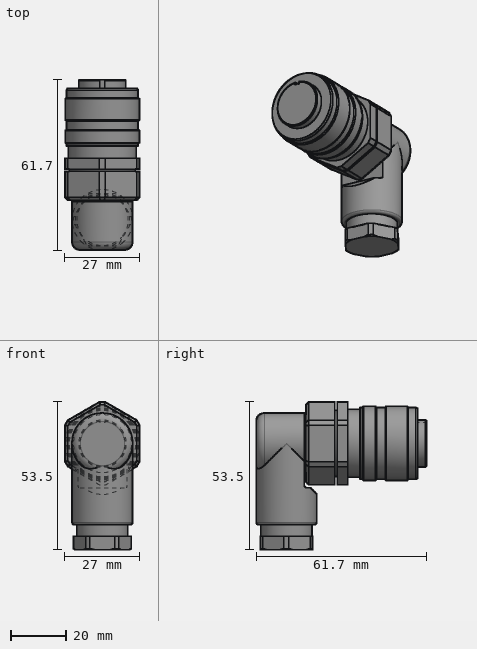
import cadquery as cq
import math


ELBOW_DIA = 22.0
ELBOW_RADIUS = ELBOW_DIA / 2
ELBOW_BACK_Y = -ELBOW_RADIUS
ELBOW_FRONT_Y = 6.5
ELBOW_BOTTOM_Z = -29.5
ELBOW_BACK_FILLET = 3.0
ELBOW_BOTTOM_FILLET = 1.0

NOTCH_FLOOR_Z = -16.0
NOTCH_BEVEL = 2.4
NOTCH_FILLET = 0.8

NUT_FLATS = 27.0
NUT_CORNERS = 30.0
NUT_BACK_Y = 7.0
NUT_FRONT_Y = 17.5
NUT_CHAMFER = 1.05
LOCK_NUT_BACK_Y = 18.3
LOCK_NUT_FRONT_Y = 22.25

ELBOW_NECK_DIA = 21.0
NUT_NECK_DIA = 24.0
BARREL_DIA = 24.7

SLEEVE_DIA = 26.0
SLEEVE_BACK_Y = 26.55
SLEEVE_FRONT_Y = 47.6
SLEEVE_BACK_CHAMFER = 0.2
SLEEVE_FRONT_TAPER_LENGTH = 0.8
SLEEVE_FRONT_TAPER_DEPTH = 0.4
RING_DIA = 27.0
RING_SLOPE = 0.4
RING_SPANS = [(27.5, 32.6), (35.7, 44.1)]

PLUG_DIA = 17.15
PLUG_FRONT_Y = 50.7
PLUG_CHAMFER = 0.4
KEYWAY_WIDTH = 1.7
KEYWAY_DEPTH = 1.0

GLAND_NECK_DIA = 18.6
GLAND_FLATS = 19.0
GLAND_CORNERS = 21.0
GLAND_TOP_Z = -33.6
GLAND_BOTTOM_Z = -38.5
GLAND_END_DIA = 19.7
GLAND_CHAMFER_HEIGHT = 0.45


def y_cylinder(diameter, back_y, front_y):
    """Cylinder on the plug axis from back_y to front_y."""
    plane = cq.Workplane("XZ", origin=(0, back_y, 0))
    return plane.circle(diameter / 2).extrude(-(front_y - back_y))


def z_cylinder(diameter, bottom_z, top_z):
    """Cylinder on the outlet axis from bottom_z to top_z."""
    plane = cq.Workplane("XY", origin=(0, 0, bottom_z))
    return plane.circle(diameter / 2).extrude(top_z - bottom_z)


def y_hexagon(flats, first_corner_angle, back_y, front_y):
    """Hexagonal prism on the plug axis, first corner at an angle from +X in degrees."""
    corner_radius = flats / math.sqrt(3)
    angles = [math.radians(first_corner_angle + 60 * i) for i in range(6)]
    corners = [(corner_radius * math.cos(a), corner_radius * math.sin(a)) for a in angles]
    plane = cq.Workplane("XZ", origin=(0, back_y, 0))
    return plane.polyline(corners).close().extrude(-(front_y - back_y))


def nut_prism(back_y, front_y):
    """Hexagon with corners up and down, each corner cut to a narrow flat."""
    hexagon = y_hexagon(NUT_FLATS, 30, back_y, front_y)
    corner_cutter = y_hexagon(NUT_CORNERS, 0, back_y, front_y)
    return hexagon.intersect(corner_cutter)


def make_elbow():
    """Two equal tubes meeting at a right angle, with the clearance notch."""
    plug_tube = y_cylinder(ELBOW_DIA, ELBOW_BACK_Y, ELBOW_FRONT_Y)
    plug_tube = plug_tube.faces("<Y").edges().fillet(ELBOW_BACK_FILLET)
    outlet_tube = z_cylinder(ELBOW_DIA, ELBOW_BOTTOM_Z, 0)
    outlet_tube = outlet_tube.faces("<Z").edges().fillet(ELBOW_BOTTOM_FILLET)
    outlet_tube = outlet_tube.cut(make_notch())
    return plug_tube.union(outlet_tube)


def make_notch():
    """Side profile of the notch, run through the full width in X."""
    outline = (
        cq.Workplane("YZ")
        .moveTo(ELBOW_FRONT_Y, 0)
        .lineTo(ELBOW_FRONT_Y, NOTCH_FLOOR_Z + NOTCH_FILLET)
        .radiusArc((ELBOW_FRONT_Y + NOTCH_FILLET, NOTCH_FLOOR_Z), -NOTCH_FILLET)
        .lineTo(ELBOW_RADIUS - NOTCH_BEVEL, NOTCH_FLOOR_Z)
        .lineTo(ELBOW_RADIUS, NOTCH_FLOOR_Z - NOTCH_BEVEL)
        .lineTo(ELBOW_RADIUS, 0)
        .close()
    )
    return outline.extrude(ELBOW_RADIUS, both=True)


def make_nuts():
    """Coupling nut, lock nut and the cylinders that link them."""
    coupling_nut = nut_prism(NUT_BACK_Y, NUT_FRONT_Y)
    coupling_nut = coupling_nut.faces("<Y").edges().chamfer(NUT_CHAMFER)
    lock_nut = nut_prism(LOCK_NUT_BACK_Y, LOCK_NUT_FRONT_Y)
    elbow_neck = y_cylinder(ELBOW_NECK_DIA, ELBOW_FRONT_Y, NUT_BACK_Y)
    nut_neck = y_cylinder(NUT_NECK_DIA, NUT_FRONT_Y, LOCK_NUT_BACK_Y)
    barrel = y_cylinder(BARREL_DIA, LOCK_NUT_FRONT_Y, SLEEVE_BACK_Y)
    return elbow_neck.union(coupling_nut).union(nut_neck).union(lock_nut).union(barrel)


def make_sleeve():
    """Sleeve body with a tapered front and two bevelled grip rings."""
    sleeve = y_cylinder(SLEEVE_DIA, SLEEVE_BACK_Y, SLEEVE_FRONT_Y)
    sleeve = sleeve.faces("<Y").edges().chamfer(SLEEVE_BACK_CHAMFER)
    sleeve_radius = SLEEVE_DIA / 2
    taper = (
        cq.Workplane("XY")
        .moveTo(sleeve_radius, SLEEVE_FRONT_Y - SLEEVE_FRONT_TAPER_LENGTH)
        .lineTo(sleeve_radius, SLEEVE_FRONT_Y)
        .lineTo(sleeve_radius - SLEEVE_FRONT_TAPER_DEPTH, SLEEVE_FRONT_Y)
        .close()
        .revolve(360, (0, 0, 0), (0, 1, 0))
    )
    sleeve = sleeve.cut(taper)
    for back_y, front_y in RING_SPANS:
        sleeve = sleeve.union(make_ring(back_y, front_y))
    return sleeve


def make_ring(back_y, front_y):
    """Grip ring whose two ends slope down to the sleeve surface."""
    outline = [
        (0, back_y),
        (SLEEVE_DIA / 2, back_y),
        (RING_DIA / 2, back_y + RING_SLOPE),
        (RING_DIA / 2, front_y - RING_SLOPE),
        (SLEEVE_DIA / 2, front_y),
        (0, front_y),
    ]
    return cq.Workplane("XY").polyline(outline).close().revolve(360, (0, 0, 0), (0, 1, 0))


def make_plug():
    """Plug insert in front of the sleeve, with the keyway cut in its top."""
    plug = y_cylinder(PLUG_DIA, SLEEVE_FRONT_Y, PLUG_FRONT_Y)
    plug = plug.faces(">Y").edges().chamfer(PLUG_CHAMFER)
    keyway = cq.Workplane("XY").box(
        KEYWAY_WIDTH,
        PLUG_FRONT_Y - SLEEVE_FRONT_Y,
        KEYWAY_DEPTH,
        centered=(True, False, False),
    )
    return plug.cut(keyway.translate((0, SLEEVE_FRONT_Y, PLUG_DIA / 2 - KEYWAY_DEPTH)))


def make_gland():
    """Gland neck and a hexagon turned down at its corners and lower end."""
    neck = z_cylinder(GLAND_NECK_DIA, GLAND_TOP_Z, ELBOW_BOTTOM_Z)
    height = GLAND_TOP_Z - GLAND_BOTTOM_Z
    corner_diameter = 2 * GLAND_FLATS / math.sqrt(3)
    hexagon = (
        cq.Workplane("XY", origin=(0, 0, GLAND_BOTTOM_Z))
        .polygon(6, corner_diameter)
        .extrude(height)
    )
    end_inset = (GLAND_CORNERS - GLAND_END_DIA) / 2
    turned_blank = z_cylinder(GLAND_CORNERS, GLAND_BOTTOM_Z, GLAND_TOP_Z)
    turned_blank = turned_blank.faces("<Z").chamfer(GLAND_CHAMFER_HEIGHT, end_inset)
    return neck.union(hexagon.intersect(turned_blank))


result = (
    make_elbow()
    .union(make_nuts())
    .union(make_sleeve())
    .union(make_plug())
    .union(make_gland())
)